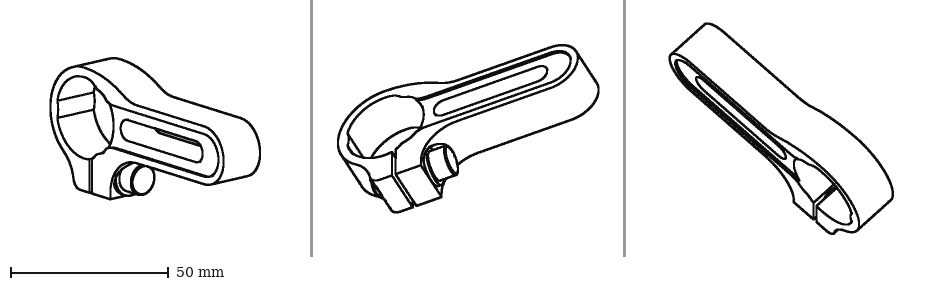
import cadquery as cq
import math


thickness = 15.24
ring_radius = 16.51
arm_length = 58.375
arm_radius = 9.525
base_bottom = -24.13
base_right = 12.7
crown_radius = 38.1
relief_radius = 12.7
relief_angle = 232.5
toe_radius = 3.5

bore_radius = 13.38
pad_tip_radius = 12.4
pad_crest_radius = 3.3
pad_blend_radius = 6.7
pad_angles = (60, -60)
rear_pad_tip_radius = 12.6
rear_pad_crest_radius = 8.6

slit_left = 2.54
slit_width = 1.27

slot_start = 20.32
slot_end = 53.34
slot_width = 6.858
recess_depth = 0.762
recess_radius = arm_radius - 2.54
recess_flare_start = 14.6
recess_flare_radius = 9.0
recess_flare_reach = 4.2

screw_z = -17.65
shank_diameter = 6.1
shank_tip = -7.1
shank_chamfer = 0.5
head_diameter = 9.9
head_length = 6.0
head_chamfer = 0.4
washer_diameter = 12.7
washer_thickness = 1.27
washer_right = base_right + washer_thickness
head_right = washer_right + head_length


def polar(radius, degrees):
    angle = math.radians(degrees)
    return (radius * math.cos(angle), radius * math.sin(angle))


def toward(start, end, distance):
    """Point at a distance from start on the line to end."""
    share = distance / math.dist(start, end)
    return (start[0] + share * (end[0] - start[0]), start[1] + share * (end[1] - start[1]))


def arc_middle(center, start, end):
    """Middle of the short arc about center from start to end."""
    halfway = ((start[0] + end[0]) / 2, (start[1] + end[1]) / 2)
    return toward(center, halfway, math.dist(center, start))


def angle_between(side_a, side_b, opposite):
    """Angle in degrees between two sides of a triangle, given the side opposite it."""
    cosine = (side_a ** 2 + side_b ** 2 - opposite ** 2) / (2 * side_a * side_b)
    return math.degrees(math.acos(cosine))


def through_thickness(sketch):
    """Extrude an outline in the XZ plane to both sides of Y = 0."""
    return sketch.extrude(thickness / 2, both=True)


def x_cylinder(diameter, start, end):
    """Cylinder on the screw axis between two X positions."""
    plane = cq.Workplane("YZ", origin=(start, 0, screw_z))
    return plane.circle(diameter / 2).extrude(end - start)


def clamp_blank():
    ring_top = (0, ring_radius)
    crown_center = (0, ring_radius - crown_radius)
    neck_z = arm_radius + relief_radius
    neck_x = math.sqrt((crown_radius + relief_radius) ** 2 - (neck_z - crown_center[1]) ** 2)
    neck_center = (neck_x, neck_z)
    neck_start = toward(crown_center, neck_center, crown_radius)
    neck_end = (neck_x, arm_radius)

    heel_center = (base_right + relief_radius, -arm_radius - relief_radius)
    heel_start = (heel_center[0], -arm_radius)
    heel_end = (base_right, heel_center[1])

    flank_center = polar(ring_radius + relief_radius, relief_angle)
    flank_start = polar(ring_radius, relief_angle)
    toe_z = base_bottom + toe_radius
    toe_reach = relief_radius + toe_radius
    toe_x = flank_center[0] + math.sqrt(toe_reach ** 2 - (toe_z - flank_center[1]) ** 2)
    toe_center = (toe_x, toe_z)
    flank_end = toward(flank_center, toe_center, relief_radius)
    toe_end = (toe_x, base_bottom)

    outline = (
        cq.Workplane("XZ")
        .moveTo(*ring_top)
        .threePointArc(arc_middle(crown_center, ring_top, neck_start), neck_start)
        .threePointArc(arc_middle(neck_center, neck_start, neck_end), neck_end)
        .lineTo(arm_length, arm_radius)
        .threePointArc((arm_length + arm_radius, 0), (arm_length, -arm_radius))
        .lineTo(*heel_start)
        .threePointArc(arc_middle(heel_center, heel_start, heel_end), heel_end)
        .lineTo(base_right, base_bottom)
        .lineTo(*toe_end)
        .threePointArc(arc_middle(toe_center, toe_end, flank_end), flank_end)
        .threePointArc(arc_middle(flank_center, flank_end, flank_start), flank_start)
        .threePointArc((-ring_radius, 0), ring_top)
        .close()
    )
    return through_thickness(outline)


def bore():
    """Round bore narrowed by a plain pad opposite the arm and two blended pads."""
    crest_distance = pad_tip_radius + pad_crest_radius
    blend_distance = bore_radius - pad_blend_radius
    span = pad_blend_radius + pad_crest_radius
    pad_spread = angle_between(crest_distance, blend_distance, span)

    rear_distance = rear_pad_tip_radius + rear_pad_crest_radius
    rear_spread = angle_between(rear_distance, bore_radius, rear_pad_crest_radius)

    upper_rear = polar(bore_radius, 180 - rear_spread)
    outline = cq.Workplane("XZ").moveTo(*upper_rear)
    outline = outline.threePointArc((-rear_pad_tip_radius, 0), polar(bore_radius, 180 + rear_spread))
    angle = rear_spread - 180
    for pad_angle in sorted(pad_angles):
        crest_center = polar(crest_distance, pad_angle)
        first_center = polar(blend_distance, pad_angle - pad_spread)
        last_center = polar(blend_distance, pad_angle + pad_spread)
        first_start = polar(bore_radius, pad_angle - pad_spread)
        first_end = toward(first_center, crest_center, pad_blend_radius)
        last_start = toward(last_center, crest_center, pad_blend_radius)
        last_end = polar(bore_radius, pad_angle + pad_spread)
        outline = (
            outline
            .threePointArc(polar(bore_radius, (angle + pad_angle - pad_spread) / 2), first_start)
            .threePointArc(arc_middle(first_center, first_start, first_end), first_end)
            .threePointArc(polar(pad_tip_radius, pad_angle), last_start)
            .threePointArc(arc_middle(last_center, last_start, last_end), last_end)
        )
        angle = pad_angle + pad_spread
    outline = outline.threePointArc(polar(bore_radius, (angle + 180 - rear_spread) / 2), upper_rear)
    return through_thickness(outline.close())


def slit():
    sketch = cq.Workplane("XZ").moveTo(slit_left, base_bottom)
    return through_thickness(sketch.rect(slit_width, -base_bottom, centered=False))


def slot():
    length = slot_end - slot_start
    center = cq.Workplane("XZ").center((slot_start + slot_end) / 2, 0)
    return through_thickness(center.slot2D(length + slot_width, slot_width))


def recess():
    """Shallow pocket in the -Y face that widens where it opens into the bore."""
    flare_center_z = recess_radius + recess_flare_radius
    flare_x = recess_flare_start - recess_flare_reach
    flare_z = flare_center_z - math.sqrt(recess_flare_radius ** 2 - recess_flare_reach ** 2)
    center = (recess_flare_start, flare_center_z)
    tangent = (recess_flare_start, recess_radius)
    mouth = (flare_x, flare_z)
    middle = arc_middle(center, tangent, mouth)
    return (
        cq.Workplane("XZ", origin=(0, -thickness / 2, 0))
        .moveTo(0, flare_z)
        .lineTo(*mouth)
        .threePointArc(middle, tangent)
        .lineTo(arm_length, recess_radius)
        .threePointArc((arm_length + recess_radius, 0), (arm_length, -recess_radius))
        .lineTo(tangent[0], -tangent[1])
        .threePointArc((middle[0], -middle[1]), (mouth[0], -mouth[1]))
        .lineTo(0, -flare_z)
        .close()
        .extrude(-recess_depth)
    )


def make_clamp():
    front_recess = recess()
    rear_recess = front_recess.mirror("XZ")
    spotface = x_cylinder(washer_diameter, base_right, base_right + relief_radius)
    screw_hole = x_cylinder(shank_diameter, -ring_radius, base_right)
    body = clamp_blank()
    for cutter in (bore(), slit(), slot(), front_recess, rear_recess, spotface, screw_hole):
        body = body.cut(cutter)
    return body


def make_screw():
    shank = x_cylinder(shank_diameter, shank_tip, washer_right).faces("<X").chamfer(shank_chamfer)
    head = x_cylinder(head_diameter, washer_right, head_right).faces(">X").chamfer(head_chamfer)
    return shank.union(head)


def make_washer():
    disc = x_cylinder(washer_diameter, base_right, washer_right)
    return disc.cut(x_cylinder(shank_diameter, base_right, washer_right))


clamp = make_clamp()
screw = make_screw()
washer = make_washer()

result = cq.Compound.makeCompound([clamp.val(), screw.val(), washer.val()])